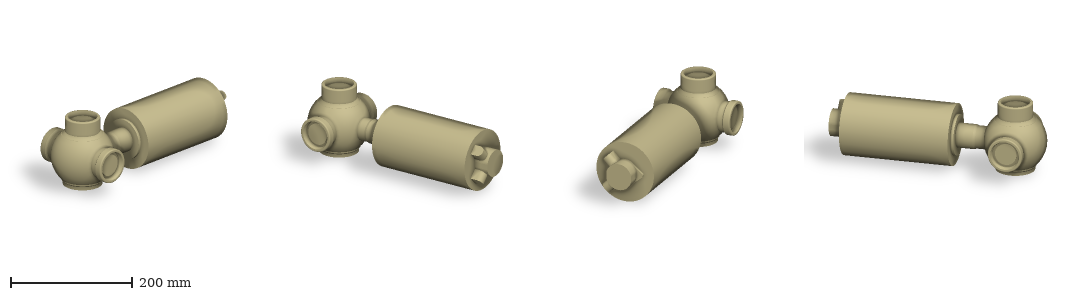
import cadquery as cq
import math


total_length = 364.8
port_span = 139.0
ball_radius = 52.5
top_port_height = 69.3
rear_end = total_length - ball_radius

rim_radius = 29.2
rim_edge_fillet = 2.2
mouth_radius = 24.5
mouth_depth = 6.2
bore_radius = 22.5
bore_depth = 9.0
plug_radius = 18.2
plug_height = 2.5
rim_width = 11.3
neck_radius = 26.3
shoulder_length = rim_radius - neck_radius

ball_flat_height = 38.5
cone_base_height = 38.0
cone_base_radius = 35.5
cone_top_height = cone_base_height + cone_base_radius - rim_radius
cover_lip_radius = 35.5
cover_lip_height = 41.0
cover_radius = 33.0
cover_top_height = cover_lip_height + cover_lip_radius - cover_radius
cover_end_height = 49.2

lower_stem_radius = 19.5
upper_stem_radius = 20.8
stem_step_start = 64.0
stem_step_end = 68.0
flange_radius = 34.5
flange_start = 96.5
actuator_radius = 52.0
actuator_start = 101.8
actuator_end = 286.7

head_radius = 23.0
head_flat_offset = 22.3
head_flat_half_width = 4.7
head_blend_angle = math.radians(24)
pointer_thickness = 4.5
pointer_tip_radius = 4.5
pointer_tip_center = 29.5
lug_width = 18.0
lug_height = 20.0
lug_reach = 39.5
lug_angles = (45, -45)


def turned_about_z(points):
    """Solid of revolution about Z from (radius, height) points."""
    return cq.Workplane("XZ").polyline(points).close().revolve(360, (0, 0), (0, 1))


def turned_about_y(points):
    """Solid of revolution about Y from (radius, position) points."""
    return cq.Workplane("XY").polyline(points).close().revolve(360, (0, 0), (0, 1))


def make_port(end_height, outer_points):
    """Port along +Z: outer wall, rounded rim and a closed tapered mouth."""
    outline = [(0, 0)] + outer_points + [(rim_radius, end_height), (0, end_height)]
    port = turned_about_z(outline).faces(">Z").edges().fillet(rim_edge_fillet)
    floor = end_height - bore_depth
    plug_top = floor + plug_height
    mouth_end = end_height - mouth_depth
    mouth = turned_about_z(
        [
            (0, plug_top),
            (plug_radius, plug_top),
            (plug_radius, floor),
            (bore_radius, floor),
            (bore_radius, mouth_end),
            (mouth_radius, end_height),
            (0, end_height),
        ]
    )
    return port.cut(mouth)


def make_ball():
    """Sphere with a flat on the top and on the bottom."""
    slab = cq.Workplane("XY").box(2 * ball_radius, 2 * ball_radius, 2 * ball_flat_height)
    return cq.Workplane("XY").sphere(ball_radius).intersect(slab)


def make_top_port():
    cone = [(cone_base_radius, 0), (cone_base_radius, cone_base_height), (rim_radius, cone_top_height)]
    return make_port(top_port_height, cone)


def make_side_port(direction):
    end = port_span / 2
    rim_start = end - rim_width
    neck = [(neck_radius, 0), (neck_radius, rim_start - shoulder_length), (rim_radius, rim_start)]
    return make_port(end, neck).rotate((0, 0, 0), (0, 1, 0), 90 * direction)


def make_cover():
    return turned_about_z(
        [
            (0, 0),
            (cover_lip_radius, 0),
            (cover_lip_radius, -cover_lip_height),
            (cover_radius, -cover_top_height),
            (cover_radius, -cover_end_height),
            (0, -cover_end_height),
        ]
    )


def make_stem_and_actuator():
    return turned_about_y(
        [
            (0, 0),
            (lower_stem_radius, 0),
            (lower_stem_radius, stem_step_start),
            (upper_stem_radius, stem_step_end),
            (upper_stem_radius, flange_start),
            (flange_radius, flange_start),
            (flange_radius, actuator_start),
            (actuator_radius, actuator_start),
            (actuator_radius, actuator_end),
            (0, actuator_end),
        ]
    )


def rear_plane():
    """Rear face of the actuator: local x is -X, local y is Z, normal is +Y."""
    return cq.Workplane(cq.Plane((0, actuator_end, 0), (-1, 0, 0), (0, 1, 0)))


def make_head():
    """Round head with a flat on each X side, blended into the round by arcs."""
    blend_x = head_radius * math.cos(head_blend_angle)
    blend_z = head_radius * math.sin(head_blend_angle)
    blend_radius = (blend_z - head_flat_half_width) / math.sin(head_blend_angle)
    return (
        rear_plane()
        .moveTo(head_flat_offset, -head_flat_half_width)
        .lineTo(head_flat_offset, head_flat_half_width)
        .radiusArc((blend_x, blend_z), -blend_radius)
        .threePointArc((0, head_radius), (-blend_x, blend_z))
        .radiusArc((-head_flat_offset, head_flat_half_width), -blend_radius)
        .lineTo(-head_flat_offset, -head_flat_half_width)
        .radiusArc((-blend_x, -blend_z), -blend_radius)
        .threePointArc((0, -head_radius), (blend_x, -blend_z))
        .radiusArc((head_flat_offset, -head_flat_half_width), -blend_radius)
        .close()
        .extrude(rear_end - actuator_end)
    )


def make_pointer():
    """Thin pointer towards -X with flanks tangent to the head and to its round tip."""
    cosine = (head_radius - pointer_tip_radius) / pointer_tip_center
    sine = math.sqrt(1 - cosine**2)
    root = (head_radius * cosine, head_radius * sine)
    tip = (pointer_tip_center + pointer_tip_radius * cosine, pointer_tip_radius * sine)
    return (
        rear_plane()
        .moveTo(root[0], -root[1])
        .lineTo(tip[0], -tip[1])
        .threePointArc((pointer_tip_center + pointer_tip_radius, 0), tip)
        .lineTo(*root)
        .close()
        .extrude(pointer_thickness)
    )


def make_lug(angle):
    """Radial bar of arched section, turned about Y from +X by the angle."""
    half_width = lug_width / 2
    straight = lug_height - half_width
    return (
        cq.Workplane(cq.Plane((0, actuator_end, 0), (0, 0, -1), (1, 0, 0)))
        .moveTo(-half_width, 0)
        .lineTo(half_width, 0)
        .lineTo(half_width, straight)
        .threePointArc((0, lug_height), (-half_width, straight))
        .close()
        .extrude(lug_reach)
        .rotate((0, 0, 0), (0, 1, 0), angle)
    )


result = make_ball().union(make_stem_and_actuator()).union(make_cover()).union(make_top_port())
for direction in (-1, 1):
    result = result.union(make_side_port(direction))
result = result.union(make_head()).union(make_pointer())
for angle in lug_angles:
    result = result.union(make_lug(angle))